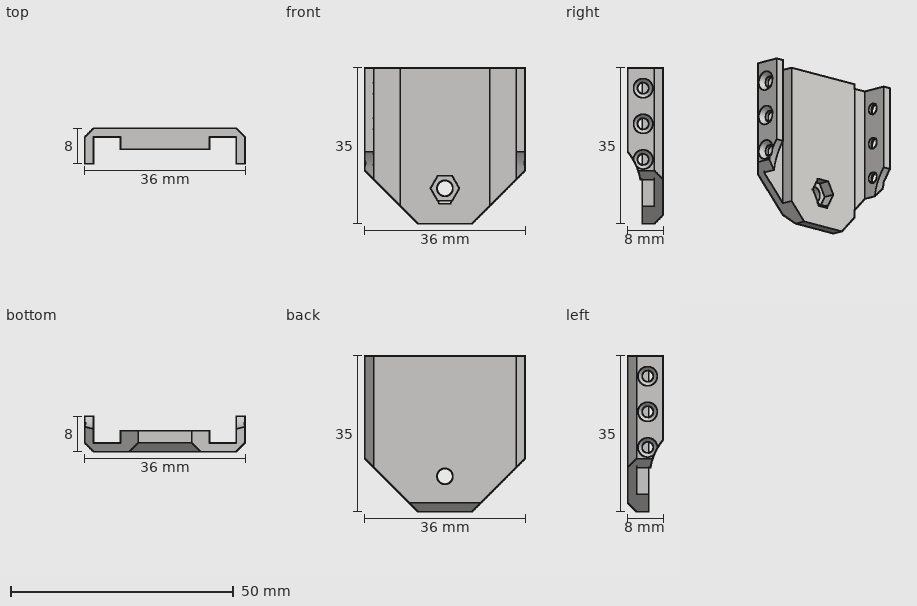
import cadquery as cq
import math

width = 36.0
depth = 8.0
height = 35.0

wall = 2.0
pad_width = 20.0
pad_front = 4.75
back_chamfer = wall
corner_cut = 12.0

relief_radius = 12.75
relief_apex_y = -5.0
axis_height = 8.0

screw_diameter = 2.5
sink_diameter = 4.32
sink_depth = 1.2
screw_y = -4.5
screw_top_z = 30.45
screw_pitch = 8.0
screw_count = 3

bolt_diameter = 3.5
nut_flats = 5.6
ramp_drop = 0.7
ramp_depth = 0.75
ramp_top_width = 3.0
ramp_bottom_width = 2.55


def channel():
    """Back plate, two flanges and centre pad as one upright extrusion."""
    half = width / 2
    inner = half - wall
    pad = pad_width / 2
    profile = [
        (-half + back_chamfer, 0), (half - back_chamfer, 0), (half, -back_chamfer),
        (half, -depth), (inner, -depth), (inner, -wall), (pad, -wall), (pad, -pad_front),
        (-pad, -pad_front), (-pad, -wall), (-inner, -wall), (-inner, -depth),
        (-half, -depth), (-half, -back_chamfer),
    ]
    return cq.Workplane("XY").polyline(profile).close().extrude(height)


def tapered_outline():
    """Block with 45 degree lower corners and a chamfered lower back edge."""
    block = cq.Workplane("XY").box(width, depth, height, centered=(True, False, False))
    block = block.translate((0, -depth, 0))
    block = block.edges("|Y and <Z").chamfer(corner_cut)
    return block.faces("<Z").edges(">Y").chamfer(back_chamfer)


def flange_relief():
    """Cylinder along X that rounds away the lower free edge of both flanges."""
    return (
        cq.Workplane("YZ", origin=(-width / 2, 0, 0))
        .center(relief_apex_y - relief_radius, axis_height)
        .circle(relief_radius)
        .extrude(width)
    )


def screw_hole(z):
    """Bore through both flanges, countersunk from each outer side."""
    half = width / 2
    start = cq.Vector(-half, screw_y, z)
    along = cq.Vector(1, 0, 0)
    cutter = cq.Solid.makeCylinder(screw_diameter / 2, wall, start, along)
    cone = cq.Solid.makeCone(sink_diameter / 2, screw_diameter / 2, sink_depth, start, along)
    left = cq.Workplane("XY").add(cutter.fuse(cone))
    return left.union(left.mirror("YZ"))


def nut_pocket():
    """Bolt hole, hexagonal pocket down to the back plate and a small ramp below it."""
    axis_plane = cq.Workplane("XZ", origin=(0, 0, axis_height))
    bolt = axis_plane.circle(bolt_diameter / 2).extrude(pad_front)
    nut_corners = nut_flats / math.cos(math.pi / 6)
    nut = (
        axis_plane.workplane(offset=wall)
        .polygon(6, nut_corners)
        .extrude(pad_front - wall)
    )
    flat_z = axis_height - nut_flats / 2
    ramp_section = [
        (-pad_front, flat_z),
        (-pad_front, flat_z - ramp_drop),
        (-pad_front + ramp_depth, flat_z),
    ]
    ramp = (
        cq.Workplane("YZ", origin=(-ramp_top_width / 2, 0, 0))
        .polyline(ramp_section).close()
        .extrude(ramp_top_width)
    )
    ramp_sides = (
        cq.Workplane("XZ")
        .polyline([
            (-ramp_top_width / 2, flat_z), (ramp_top_width / 2, flat_z),
            (ramp_bottom_width / 2, flat_z - ramp_drop),
            (-ramp_bottom_width / 2, flat_z - ramp_drop),
        ]).close()
        .extrude(pad_front)
    )
    return bolt.union(nut).union(ramp.intersect(ramp_sides))


result = channel().intersect(tapered_outline()).cut(flange_relief())
for index in range(screw_count):
    result = result.cut(screw_hole(screw_top_z - index * screw_pitch))
result = result.cut(nut_pocket())